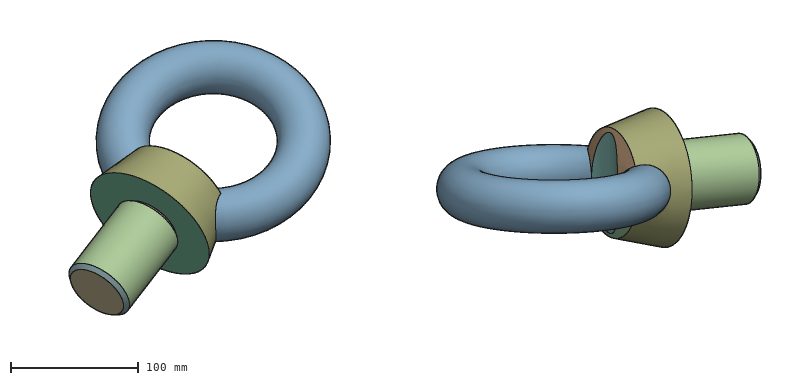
import cadquery as cq
import math

total_length = 263.5
ring_bore_diameter = 100.0
ring_bar_diameter = 42.0
collar_base_diameter = 110.0
collar_rim_diameter = 88.0
collar_height = 42.2
crown_height = 8.0
shank_diameter = 56.0
shank_length = 78.0
shank_chamfer = 3.5

ring_bore_radius = ring_bore_diameter / 2
ring_bar_radius = ring_bar_diameter / 2
ring_centre_radius = ring_bore_radius + ring_bar_radius
ring_outer_radius = ring_bore_radius + ring_bar_diameter
shank_end_y = ring_outer_radius - total_length
collar_base_y = shank_end_y + shank_length
collar_rim_y = collar_base_y + collar_height
crown_top_y = collar_rim_y + crown_height


def make_ring():
    """Round bar swept about Z, with its joint on the -Y side, hidden in the collar."""
    return (
        cq.Workplane("YZ")
        .center(-ring_centre_radius, 0)
        .circle(ring_bar_radius)
        .revolve(360, (ring_centre_radius, 0), (ring_centre_radius, 1))
    )


def make_collar_and_shank():
    """Turned body about Y: chamfered shank, tapered collar and shallow domed crown."""
    shank_radius = shank_diameter / 2
    chamfered_radius = shank_radius - shank_chamfer
    rim_radius = collar_rim_diameter / 2
    dome_radius = (rim_radius**2 + crown_height**2) / (2 * crown_height)
    dome_mid_x = rim_radius / 2
    dome_mid_y = crown_top_y - dome_radius + math.sqrt(dome_radius**2 - dome_mid_x**2)
    return (
        cq.Workplane("XY")
        .moveTo(0, shank_end_y)
        .lineTo(chamfered_radius, shank_end_y)
        .lineTo(shank_radius, shank_end_y + shank_chamfer)
        .lineTo(shank_radius, collar_base_y - shank_chamfer)
        .lineTo(chamfered_radius, collar_base_y)
        .lineTo(collar_base_diameter / 2, collar_base_y)
        .lineTo(rim_radius, collar_rim_y)
        .threePointArc((dome_mid_x, dome_mid_y), (0, crown_top_y))
        .close()
        .revolve(360, (0, 0), (0, 1))
    )


def make_bore():
    """Cylinder through the eye that trims the crown flush with the inside of the ring."""
    return cq.Workplane("XY").circle(ring_bore_radius).extrude(collar_base_diameter, both=True)


result = make_collar_and_shank().cut(make_bore()).union(make_ring())